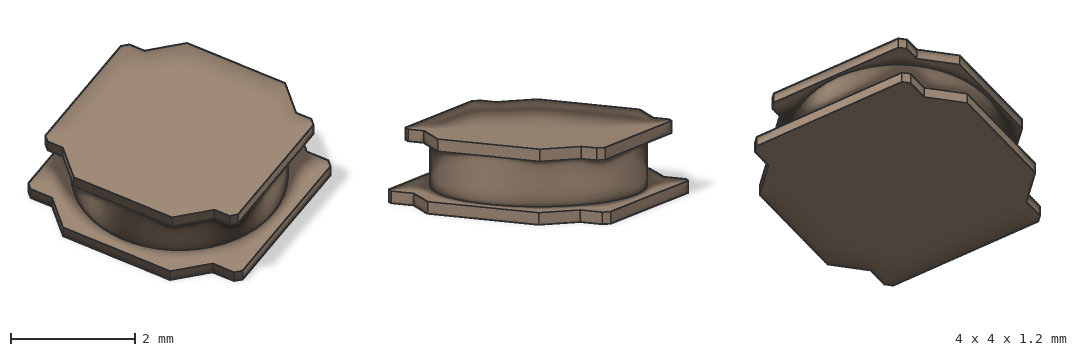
import math

import cadquery as cq

base_width = 4.0
flange_inset = 0.2
flange_thickness = 0.2
total_height = 1.2
core_diameter = 3.5

slope_start_x = 1.0
notch_y = 1.5
slope_angle = 45.0
corner_chamfer = 0.1


def flange(inset, bottom_z):
    """Plate with the base outline moved inward by `inset`, keeping the corner chamfer size."""
    half_width = base_width / 2 - inset
    ledge_y = notch_y - inset
    slope_x = slope_start_x - inset * math.tan(math.radians(slope_angle / 2))
    slope_end_x = slope_x + (half_width - ledge_y) / math.tan(math.radians(slope_angle))

    quarter = [
        (half_width, ledge_y - corner_chamfer),
        (half_width - corner_chamfer, ledge_y),
        (slope_end_x, ledge_y),
        (slope_x, half_width),
    ]
    right_half = [(x, -y) for x, y in reversed(quarter)] + quarter
    left_half = [(-x, -y) for x, y in right_half]
    return (
        cq.Workplane("XY", origin=(0, 0, bottom_z))
        .polyline(right_half + left_half)
        .close()
        .extrude(flange_thickness)
    )


def core():
    """Round winding core, running the full height through both flanges."""
    return cq.Workplane("XY").circle(core_diameter / 2).extrude(total_height)


base_flange = flange(0, 0)
top_flange = flange(flange_inset, total_height - flange_thickness)

result = base_flange.union(core()).union(top_flange).clean()